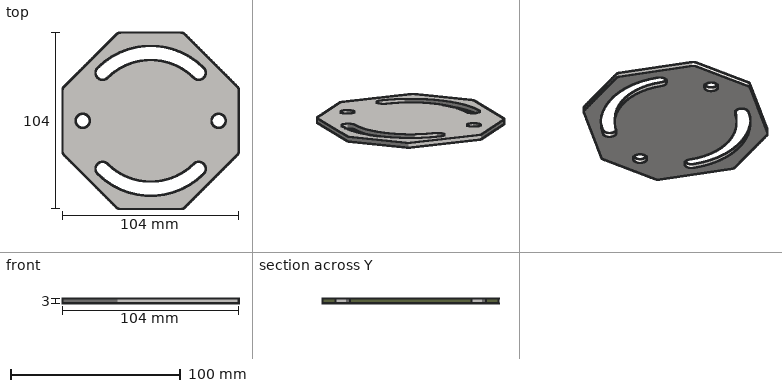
import cadquery as cq
import math

plate_width = 104.0
plate_thickness = 3.0
corner_cut = 32.85
corner_radius = 3.0

pitch_radius = 40.0
opening_width = 8.2
slot_half_angle = 45.0


def octagon_plate():
    """Square plate with its corners cut at 45 degrees and every corner rounded."""
    return (
        cq.Workplane("XY")
        .rect(plate_width, plate_width)
        .extrude(plate_thickness)
        .edges("|Z")
        .chamfer(corner_cut)
        .edges("|Z")
        .fillet(corner_radius)
    )


def polar_point(radius, angle):
    radians = math.radians(angle)
    return (radius * math.cos(radians), radius * math.sin(radians))


def round_holes(centres):
    """Cutting cylinders, one per centre, through the full thickness."""
    return cq.Workplane("XY").pushPoints(centres).circle(opening_width / 2).extrude(plate_thickness)


def arc_slot(middle_angle):
    """Round-ended slot along the pitch circle, centred on middle_angle."""
    inner_radius = pitch_radius - opening_width / 2
    outer_radius = pitch_radius + opening_width / 2
    start_angle = middle_angle - slot_half_angle
    end_angle = middle_angle + slot_half_angle
    band = (
        cq.Workplane("XY")
        .moveTo(*polar_point(inner_radius, start_angle))
        .lineTo(*polar_point(outer_radius, start_angle))
        .threePointArc(polar_point(outer_radius, middle_angle), polar_point(outer_radius, end_angle))
        .lineTo(*polar_point(inner_radius, end_angle))
        .threePointArc(polar_point(inner_radius, middle_angle), polar_point(inner_radius, start_angle))
        .close()
        .extrude(plate_thickness)
    )
    end_centres = [polar_point(pitch_radius, start_angle), polar_point(pitch_radius, end_angle)]
    return band.union(round_holes(end_centres))


hole_centres = [(-pitch_radius, 0), (pitch_radius, 0)]
slot_middle_angles = (90, 270)

result = octagon_plate().cut(round_holes(hole_centres))
for slot_middle_angle in slot_middle_angles:
    result = result.cut(arc_slot(slot_middle_angle))